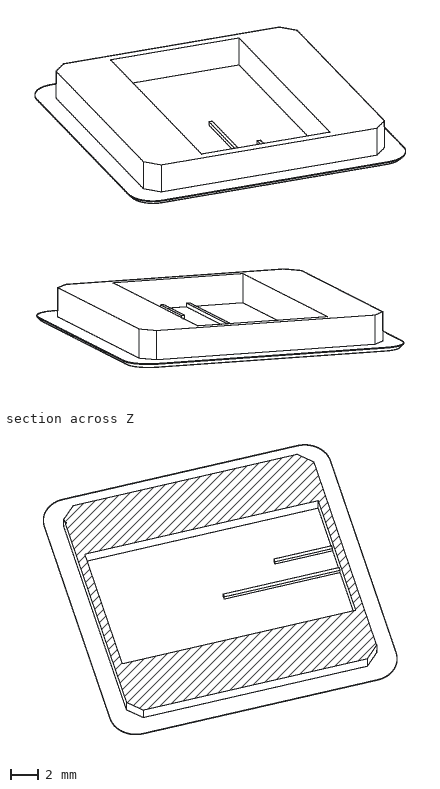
import cadquery as cq

flange_side = 21.85
flange_thickness = 0.35
flange_corner_radius = 1.97
flange_bevel = 0.28

total_height = 2.53
block_side = 19.1
block_corner_chamfer = 1.0
block_height = total_height - flange_thickness

pocket_length = 17.78
pocket_width = 10.18
pocket_end_x = pocket_length / 2

rib_width = 0.26
rib_height = 0.28
rib_starts = [
    (0.05, -0.79),
    (4.48, 1.25),
]


def make_flange():
    plate = cq.Workplane("XY").rect(flange_side, flange_side).extrude(flange_thickness)
    plate = plate.edges("|Z").fillet(flange_corner_radius)
    return plate.faces("<Z").chamfer(flange_bevel)


def make_block():
    block = (
        cq.Workplane("XY")
        .workplane(offset=flange_thickness)
        .rect(block_side, block_side)
        .extrude(block_height)
        .edges("|Z")
        .chamfer(block_corner_chamfer)
    )
    return block.faces(">Z").workplane().rect(pocket_length, pocket_width).cutBlind(-block_height)


def make_rib(start_x, center_y):
    rib_length = pocket_end_x - start_x
    return (
        cq.Workplane("XY")
        .workplane(offset=flange_thickness)
        .center(start_x + rib_length / 2, center_y)
        .rect(rib_length, rib_width)
        .extrude(rib_height)
    )


result = make_flange().union(make_block())
for start_x, center_y in rib_starts:
    result = result.union(make_rib(start_x, center_y))